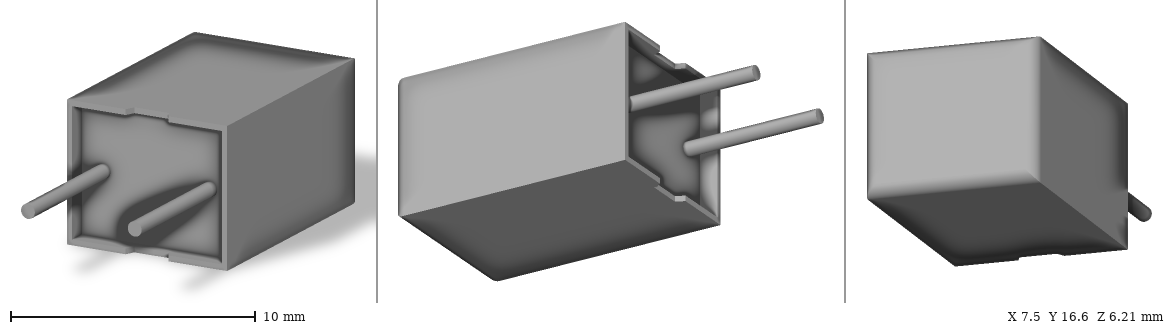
import cadquery as cq


OVERALL_LENGTH = 16.6
CASE_WIDTH = 7.5
CASE_HEIGHT = 6.21
CASE_LENGTH = 11.09
WALL = 0.25
REAR_FILLET = 0.5

POTTING_RECESS = 0.83
NOTCH_OUTER_WIDTH = 2.0
NOTCH_INNER_WIDTH = 1.63
NOTCH_DEPTH = 0.4

LEAD_DIAMETER = 0.65
LEAD_SPACING = 5.0
LEAD_LENGTH = OVERALL_LENGTH - CASE_LENGTH + POTTING_RECESS

CAVITY_WIDTH = CASE_WIDTH - 2 * WALL
CAVITY_HEIGHT = CASE_HEIGHT - 2 * WALL
CAVITY_LENGTH = CASE_LENGTH - WALL


def block(width, length, height, front_y):
    """Block centred in X and Z that runs from front_y toward +Y."""
    return cq.Workplane("XY").box(width, length, height, centered=(True, False, True)).translate((0, front_y, 0))


def make_notch():
    """Trapezoidal cutter through the top and bottom walls at the open end."""
    return (
        cq.Workplane("XY")
        .polyline([
            (-NOTCH_OUTER_WIDTH / 2, 0),
            (NOTCH_OUTER_WIDTH / 2, 0),
            (NOTCH_INNER_WIDTH / 2, NOTCH_DEPTH),
            (-NOTCH_INNER_WIDTH / 2, NOTCH_DEPTH),
        ])
        .close()
        .extrude(CASE_HEIGHT / 2, both=True)
    )


def make_case():
    """Case with rounded rear edges, an open front and two notches."""
    shell = block(CASE_WIDTH, CASE_LENGTH, CASE_HEIGHT, 0).faces(">Y").edges().fillet(REAR_FILLET)
    cavity = block(CAVITY_WIDTH, CAVITY_LENGTH, CAVITY_HEIGHT, 0)
    cavity = cavity.faces(">Y").edges().fillet(REAR_FILLET - WALL)
    return shell.cut(cavity).cut(make_notch())


def make_potting():
    """Potting block that fills the cavity behind the recess."""
    potting = block(CAVITY_WIDTH, CAVITY_LENGTH - POTTING_RECESS, CAVITY_HEIGHT, POTTING_RECESS)
    return potting.faces(">Y").edges().fillet(REAR_FILLET - WALL)


def make_lead(x):
    """Round lead that starts on the potting face and runs toward -Y."""
    return (
        cq.Workplane("XZ", origin=(x, POTTING_RECESS, 0))
        .circle(LEAD_DIAMETER / 2)
        .extrude(LEAD_LENGTH)
    )


case = make_case()
potting = make_potting()
leads = [make_lead(side * LEAD_SPACING / 2) for side in (-1, 1)]

result = cq.Compound.makeCompound([case.val(), potting.val(), *[lead.val() for lead in leads]])